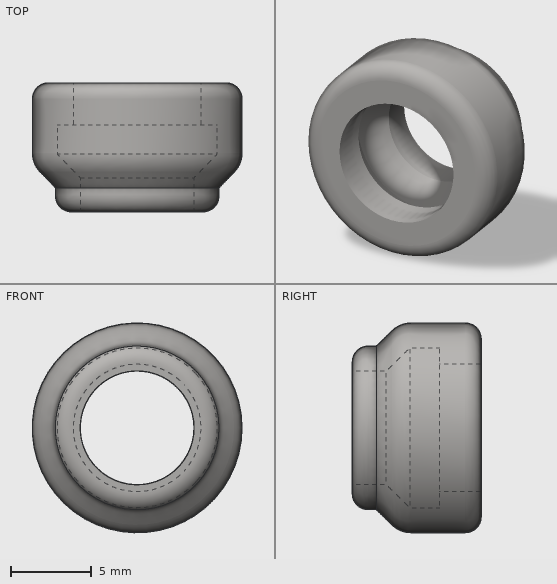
import cadquery as cq
import math

length = 8.0
body_radius = 13 / 2
nose_radius = 10.14 / 2
bore_radius = 7.03 / 2
cavity_radius = 9.9 / 2
back_hole_radius = 7.9 / 2
edge_round = 1.0
shoulder_round = 1.68
nose_length = 1.5
shoulder_height = 2.96
bore_depth = 2.1
cavity_start = 3.58
cavity_end = 5.4


def round_point(center, radius, angle):
    """Point on a circle, with the angle measured from the radial direction towards -Y."""
    return (
        center[0] + radius * math.cos(angle),
        center[1] - radius * math.sin(angle),
    )


shoulder_angle = math.atan2(body_radius - nose_radius, shoulder_height - nose_length)
body_start = shoulder_height + shoulder_round * math.tan(shoulder_angle / 2)
blend_center = (body_radius - shoulder_round, body_start)
cone_end = round_point(blend_center, shoulder_round, shoulder_angle)

nose_round_center = (nose_radius - edge_round, edge_round)
back_round_center = (body_radius - edge_round, length - edge_round)
mid_round = math.radians(45)

outer = (
    cq.Workplane("XY")
    .lineTo(nose_radius - edge_round, 0)
    .threePointArc(
        round_point(nose_round_center, edge_round, mid_round),
        (nose_radius, edge_round),
    )
    .lineTo(nose_radius, nose_length)
    .lineTo(*cone_end)
    .threePointArc(
        round_point(blend_center, shoulder_round, shoulder_angle / 2),
        (body_radius, body_start),
    )
    .lineTo(body_radius, length - edge_round)
    .threePointArc(
        round_point(back_round_center, edge_round, -mid_round),
        (body_radius - edge_round, length),
    )
    .lineTo(0, length)
    .close()
    .revolve(360, (0, 0, 0), (0, 1, 0))
)

opening = (
    cq.Workplane("XY")
    .lineTo(bore_radius, 0)
    .lineTo(bore_radius, bore_depth)
    .lineTo(cavity_radius, cavity_start)
    .lineTo(cavity_radius, cavity_end)
    .lineTo(back_hole_radius, cavity_end)
    .lineTo(back_hole_radius, length)
    .lineTo(0, length)
    .close()
    .revolve(360, (0, 0, 0), (0, 1, 0))
)

result = outer.cut(opening)